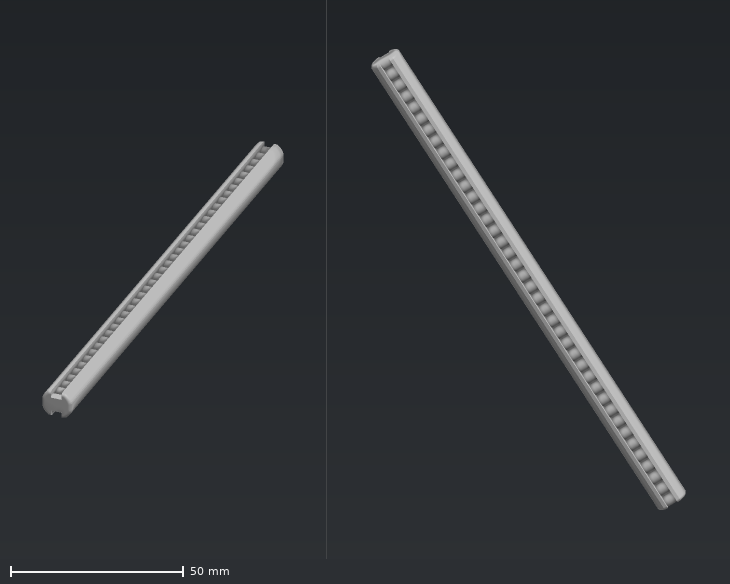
import cadquery as cq
import math

length = 158.5
width = 9.4
height = 8.4
round_diameter = 9.7
side_flat = 2.2
side_bevel_end = 1.6
lip_bevel_end = 2.7
end_fillet = 1.0

slot_width = 3.3
slot_floor = 1.0
tooth_radius = 1.7
tooth_row_length = 160.0
tooth_count = 40
tooth_pitch = tooth_row_length / tooth_count


def make_bar():
    """Solid bar along Y with its end edges rounded."""
    radius = round_diameter / 2
    arc_start = (math.sqrt(radius**2 - side_bevel_end**2), side_bevel_end)
    arc_middle = (radius * math.cos(math.pi / 4), radius * math.sin(math.pi / 4))
    arc_end = (lip_bevel_end, math.sqrt(radius**2 - lip_bevel_end**2))
    upper_right = (
        cq.Workplane("XZ")
        .lineTo(width / 2, 0)
        .lineTo(width / 2, side_flat / 2)
        .lineTo(*arc_start)
        .threePointArc(arc_middle, arc_end)
        .lineTo(slot_width / 2, height / 2)
        .lineTo(0, height / 2)
        .close()
        .extrude(length / 2, both=True)
    )
    upper = upper_right.union(upper_right.mirror("YZ"))
    bar = upper.union(upper.mirror("XY")).clean()
    return bar.faces("<Y or >Y").edges().fillet(end_fillet)


def make_slot():
    """Space of the upper slot, its floor a row of half-round teeth along Y."""
    crest = slot_floor + tooth_radius
    slot_top = height
    row_end = tooth_row_length / 2
    profile = cq.Workplane("YZ", origin=(-slot_width / 2, 0, 0))
    profile = profile.moveTo(-row_end, slot_top).lineTo(-row_end, slot_floor)
    for tooth in range(tooth_count):
        center = (tooth + 0.5) * tooth_pitch - row_end
        profile = profile.lineTo(center - tooth_radius, slot_floor)
        profile = profile.threePointArc((center, crest), (center + tooth_radius, slot_floor))
    profile = profile.lineTo(row_end, slot_floor).lineTo(row_end, slot_top).close()
    return profile.extrude(slot_width)


slot = make_slot()
result = make_bar().cut(slot).cut(slot.mirror("XY"))